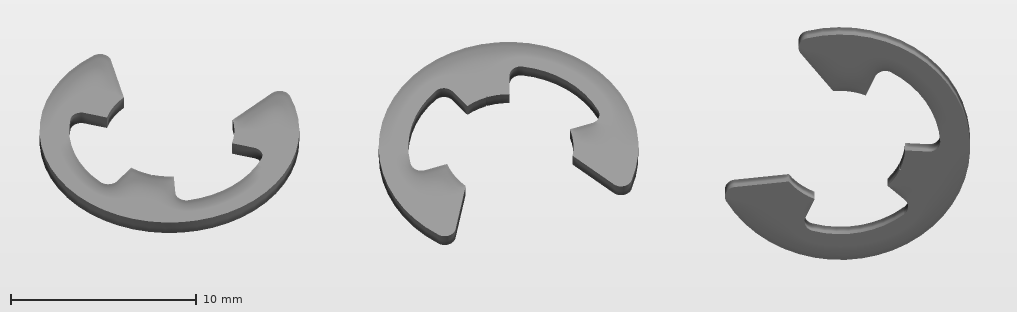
import cadquery as cq
import math

thickness = 0.8
outer_radius = 7.0
shaft_radius = 3.5
pocket_radius = 5.4
pocket_fillet = 0.6
tip_fillet = 0.6
tongue_half_angle = 20.0
jaw_gap = 6.1
mouth_half_angle = 30.0

reach = 2 * outer_radius


def disc(radius):
    return cq.Workplane("XY").circle(radius).extrude(thickness)


def prism(points):
    return cq.Workplane("XY").polyline(points).close().extrude(thickness)


def pocket():
    """Sector between the +X jaw and the tongue, rounded where it meets the ring."""
    angle = math.radians(tongue_half_angle)
    along_tongue = (reach * math.sin(angle), -reach * math.cos(angle))
    sector = prism([(0, 0), (reach, 0), (reach, -reach), along_tongue])
    wedge = disc(pocket_radius).intersect(sector)
    return wedge.edges("|Z and (>X or <Y)").fillet(pocket_fillet)


def mouth():
    """V opening whose sides meet the shaft circle at the two jaw corners."""
    slope = 1 / math.tan(math.radians(mouth_half_angle))
    corner_x = jaw_gap / 2
    corner_y = math.sqrt(shaft_radius**2 - corner_x**2)
    apex_y = corner_y - corner_x * slope
    half_width = (reach - apex_y) / slope
    return prism([(0, apex_y), (half_width, reach), (-half_width, reach)])


blank = disc(outer_radius).cut(mouth())
blank = blank.edges("|Z and >Y").fillet(tip_fillet)

right_pocket = pocket()
left_pocket = right_pocket.mirror("YZ")
result = blank.cut(disc(shaft_radius)).cut(right_pocket).cut(left_pocket)